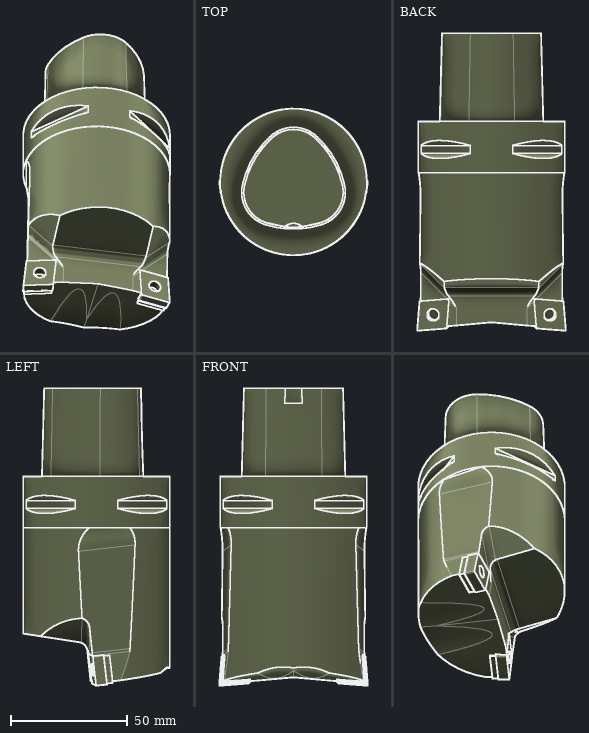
import cadquery as cq
import math


SHANK_LENGTH = 38.0
SHANK_INSET = 0.95
FLANK_DISTANCE = 20.25
LOBE_DISTANCE = 23.5
FLANK_RADIUS = 40.0
NOTCH_RADIUS = 5.4
NOTCH_DEPTH = 1.5
NOTCH_HEIGHT = 6.5

FLANGE_DIAMETER = 63.19
FLANGE_HEIGHT = 22.0
GROOVE_FLOOR_DISTANCE = 27.8
GROOVE_FLOOR_HEIGHT = 3.4
GROOVE_CENTRE_Z = -12.05
GROOVE_FLANK_ANGLE = 30.0

BODY_DIAMETER = 63.0
TIP_Z = -90.0
TIP_X = 32.0
REACH = 45.0
FLOOR_Z = TIP_Z - 10.0

RAKE_SLOPE_X = 0.135
RAKE_SLOPE_Z = 0.105
RAKE_TIP_Y = 0.13
WEB_TIP_Y = 2.4

CEILING_RIM_Z = -67.6
CEILING_SLOPE = 0.154
CHIP_CORNER_RADIUS = 4.0
SCOOP_START_X = 20.4

END_APEX_Z = -86.1
END_SLOPE_X = 0.0914
END_SLOPE_Y = 0.11
LOBE_RELIEF_RADIUS = 28.0
LOBE_RELIEF_X = 5.0
LOBE_RELIEF_RIM_Z = -82.2
LOBE_RELIEF_SLOPE = 0.155

FLAT_AXIS_X = 29.34
FLAT_TOP_Z = -31.2
FLAT_SLOPE_Y = 0.152
FLAT_SLOPE_Z = 0.02
FLAT_TURN = 0.113
FLAT_LENGTH = 44.0
FLAT_TOE_BAND = 1.2
FLAT_TOE_SLOPE = 0.07
RUNOUT_RADIUS = 27.0
RUNOUT_ANGLE = 40.0

INSERT_EDGE = 12.9
INSERT_ANGLE = 80.0
INSERT_THICKNESS = 4.76
INSERT_NOSE_RADIUS = 0.4
INSERT_HOLE_DIAMETER = 5.16
INSERT_EDGE_RISE = 4.5
SEAT_PAD_THICKNESS = 2.6
SEAT_PAD_INSET = 0.45


def polar(radius, degrees):
    angle = math.radians(degrees)
    return radius * math.cos(angle), radius * math.sin(angle)


def shank_section(inset, z):
    """Three flank arcs joined tangentially by three lobe arcs."""
    offset = FLANK_RADIUS - FLANK_DISTANCE
    lobe_radius = (offset ** 2 + LOBE_DISTANCE ** 2 + offset * LOBE_DISTANCE - FLANK_RADIUS ** 2) / (
        2 * LOBE_DISTANCE + offset - 2 * FLANK_RADIUS
    )
    lobe_centre = LOBE_DISTANCE - lobe_radius
    half_chord = lobe_centre * math.sin(math.radians(60))
    half_angle = math.degrees(math.atan2(half_chord, offset + lobe_centre / 2))
    radius = FLANK_RADIUS - inset

    def flank_end(flank, sign):
        centre = polar(offset, flank + 180)
        swing = polar(radius, flank + sign * half_angle)
        return centre[0] + swing[0], centre[1] + swing[1]

    flanks = (-90, 30, 150)
    section = cq.Workplane("XY", origin=(0, 0, z)).moveTo(*flank_end(flanks[0], -1))
    for flank in flanks:
        section = section.threePointArc(polar(FLANK_DISTANCE - inset, flank), flank_end(flank, 1))
        next_start = flank_end(flank + 120, -1)
        section = section.threePointArc(polar(LOBE_DISTANCE - inset, flank + 60), next_start)
    return section.close().wire().val()


def make_shank():
    sections = [shank_section(0, 0), shank_section(SHANK_INSET, SHANK_LENGTH)]
    shank = cq.Workplane(cq.Solid.makeLoft(sections, True))
    notch_y = -(FLANK_DISTANCE - SHANK_INSET - NOTCH_DEPTH + NOTCH_RADIUS)
    notch = (
        cq.Workplane("XY", origin=(0, notch_y, SHANK_LENGTH - NOTCH_HEIGHT))
        .circle(NOTCH_RADIUS)
        .extrude(2 * NOTCH_HEIGHT)
    )
    return shank.cut(notch)


def make_flange():
    flange = cq.Workplane("XY").circle(FLANGE_DIAMETER / 2).extrude(-FLANGE_HEIGHT)
    half_floor = GROOVE_FLOOR_HEIGHT / 2
    half_mouth = half_floor + (REACH - GROOVE_FLOOR_DISTANCE) * math.tan(math.radians(GROOVE_FLANK_ANGLE))
    groove = (
        cq.Workplane("XZ")
        .polyline([
            (GROOVE_FLOOR_DISTANCE, GROOVE_CENTRE_Z - half_floor),
            (REACH, GROOVE_CENTRE_Z - half_mouth),
            (REACH, GROOVE_CENTRE_Z + half_mouth),
            (GROOVE_FLOOR_DISTANCE, GROOVE_CENTRE_Z + half_floor),
        ])
        .close()
        .extrude(REACH, both=True)
    )
    for turn in (45, 135, 225, 315):
        flange = flange.cut(groove.rotate((0, 0, 0), (0, 0, 1), turn))
    return flange


def chip_space_section(x, drop):
    """YZ outline of the chip space: web wall, rounded corner and ceiling lowered by drop."""
    rim_y = BODY_DIAMETER / 2

    def wall_y(z):
        return WEB_TIP_Y + RAKE_SLOPE_Z * (z - TIP_Z)

    def ceiling_z(y):
        return CEILING_RIM_Z - drop - CEILING_SLOPE * (rim_y - y)

    corner_z = (ceiling_z(0) + CEILING_SLOPE * wall_y(0)) / (1 - CEILING_SLOPE * RAKE_SLOPE_Z)
    corner = cq.Vector(wall_y(corner_z), corner_z, 0)
    down_wall = cq.Vector(-RAKE_SLOPE_Z, -1, 0).normalized()
    along_ceiling = cq.Vector(1, CEILING_SLOPE, 0).normalized()
    half_angle = down_wall.getAngle(along_ceiling) / 2
    setback = CHIP_CORNER_RADIUS / math.tan(half_angle)
    bisector = (down_wall + along_ceiling).normalized()
    crown = corner + bisector * (CHIP_CORNER_RADIUS / math.sin(half_angle) - CHIP_CORNER_RADIUS)
    arc_start = corner + down_wall * setback
    arc_end = corner + along_ceiling * setback
    return (
        cq.Workplane("YZ", origin=(x, 0, 0))
        .moveTo(wall_y(FLOOR_Z - REACH), FLOOR_Z - REACH)
        .lineTo(arc_start.x, arc_start.y)
        .threePointArc((crown.x, crown.y), (arc_end.x, arc_end.y))
        .lineTo(REACH, ceiling_z(REACH))
        .lineTo(REACH, FLOOR_Z - REACH)
        .close()
        .wire()
        .val()
    )


def make_chip_space():
    """Central cut to the web, widened on each side by a rake face and a climbing ceiling."""
    centre = cq.Solid.extrudeLinear(chip_space_section(-REACH, 0), [], cq.Vector(2 * REACH, 0, 0))
    rake_start_x = TIP_X - (WEB_TIP_Y - RAKE_TIP_Y) / RAKE_SLOPE_X
    section = chip_space_section(-rake_start_x, SCOOP_START_X - rake_start_x)
    run = REACH - rake_start_x
    sweep = cq.Vector(-1, RAKE_SLOPE_Z - RAKE_SLOPE_X, 1) * run
    left = cq.Workplane(cq.Solid.extrudeLinear(section, [], sweep))
    return cq.Workplane(centre).union(left).union(left.mirror("YZ"))


def make_end_cut():
    """Roof-shaped end face that climbs towards -Y, with two shallow round reliefs."""
    start_y = REACH
    apex_z = END_APEX_Z - END_SLOPE_Y * start_y
    eaves_z = apex_z - END_SLOPE_X * REACH
    roof = (
        cq.Workplane("XZ", origin=(0, start_y, 0))
        .polyline([
            (-REACH, FLOOR_Z - REACH),
            (-REACH, eaves_z),
            (0, apex_z),
            (REACH, eaves_z),
            (REACH, FLOOR_Z - REACH),
        ])
        .close()
        .wire()
        .val()
    )
    cut = cq.Workplane(cq.Solid.extrudeLinear(roof, [], cq.Vector(0, -1, END_SLOPE_Y) * (2 * REACH)))
    climb = cq.Vector(0, -1, LOBE_RELIEF_SLOPE)
    rim_y = -BODY_DIAMETER / 2
    for side in (-1, 1):
        rim = cq.Vector(side * LOBE_RELIEF_X, rim_y, LOBE_RELIEF_RIM_Z - LOBE_RELIEF_RADIUS)
        relief = cq.Solid.makeCylinder(LOBE_RELIEF_RADIUS, 2 * REACH, rim - climb * REACH, climb)
        cut = cut.union(cq.Workplane(relief))
    return cut


def make_left_flat():
    """Cut beside the -X edge: a round run-out, a long flat and a toe that leans outwards."""
    origin = cq.Vector(-FLAT_AXIS_X, 0, FLAT_TOP_Z)
    outward = cq.Vector(-1, -FLAT_SLOPE_Y, FLAT_SLOPE_Z)
    across = cq.Vector(-FLAT_SLOPE_Y - FLAT_SLOPE_Z * FLAT_TURN, 1, -FLAT_TURN)
    runout_end = polar(RUNOUT_RADIUS, RUNOUT_ANGLE)
    runout_middle = polar(RUNOUT_RADIUS, RUNOUT_ANGLE / 2)
    band_lean = FLAT_TOE_BAND * FLAT_TOE_SLOPE / 2
    return (
        cq.Workplane(cq.Plane(origin, xDir=outward, normal=across))
        .threePointArc(
            (RUNOUT_RADIUS - runout_middle[0], runout_middle[1]),
            (RUNOUT_RADIUS - runout_end[0], runout_end[1]),
        )
        .lineTo(REACH, runout_end[1])
        .lineTo(REACH, -FLAT_LENGTH - REACH)
        .lineTo(band_lean + FLAT_TOE_SLOPE * (REACH - FLAT_TOE_BAND), -FLAT_LENGTH - REACH)
        .lineTo(band_lean, -FLAT_LENGTH - FLAT_TOE_BAND)
        .lineTo(0, -FLAT_LENGTH)
        .close()
        .extrude(REACH, both=True)
    )


def left_insert_plane():
    """Plane of the -X rake face: origin at the nose centre, local x along the end edge."""
    normal = cq.Vector(-RAKE_SLOPE_X, 1, -RAKE_SLOPE_Z).normalized()
    nose_x = TIP_X - INSERT_NOSE_RADIUS * math.sqrt(1 - normal.x ** 2)
    nose_z = TIP_Z + INSERT_NOSE_RADIUS * math.sqrt(1 - normal.z ** 2)
    nose_y = RAKE_TIP_Y + RAKE_SLOPE_X * (TIP_X - nose_x) + RAKE_SLOPE_Z * (nose_z - TIP_Z)
    rise = math.tan(math.radians(INSERT_EDGE_RISE))
    end_edge = cq.Vector(1, RAKE_SLOPE_X + RAKE_SLOPE_Z * rise, rise)
    return cq.Plane((-nose_x, nose_y, nose_z), xDir=end_edge, normal=normal)


def left_rhombus(plane, inset, thickness):
    """Rhombic plate behind the plane, its outline moved in by inset from the rounded insert."""
    angle = math.radians(INSERT_ANGLE)
    span = INSERT_EDGE - 2 * INSERT_NOSE_RADIUS / math.sin(angle)
    side = cq.Vector(span * math.cos(angle), -span * math.sin(angle))
    return (
        cq.Workplane(plane)
        .polyline([(0, 0), (span, 0), (span + side.x, side.y), (side.x, side.y)])
        .close()
        .offset2D(INSERT_NOSE_RADIUS - inset, "arc")
        .extrude(-thickness)
    )


def make_left_insert():
    """Rhombic insert with a clamping hole through its middle."""
    plate = left_rhombus(left_insert_plane(), 0, INSERT_THICKNESS)
    return plate.faces(">Y").workplane(centerOption="CenterOfBoundBox").hole(INSERT_HOLE_DIAMETER)


def make_left_seat_pad():
    """Slightly smaller pad of the body that backs the insert."""
    plane = left_insert_plane()
    pad = left_rhombus(plane, SEAT_PAD_INSET, INSERT_THICKNESS + SEAT_PAD_THICKNESS)
    return pad.cut(left_rhombus(plane, 0, INSERT_THICKNESS))


def make_holder():
    """Shank, flange and cutter body in one solid, with a seat for each insert."""
    length = -FLANGE_HEIGHT - FLOOR_Z
    body = cq.Workplane("XY", origin=(0, 0, FLOOR_Z)).circle(BODY_DIAMETER / 2).extrude(length)
    body = body.cut(make_chip_space()).cut(make_end_cut())
    flat = make_left_flat()
    pad = make_left_seat_pad()
    seat = left_rhombus(left_insert_plane(), 0, INSERT_THICKNESS)
    body = body.cut(flat).cut(flat.mirror("YZ"))
    body = body.union(pad).union(pad.mirror("YZ"))
    body = body.cut(seat).cut(seat.mirror("YZ"))
    return body.union(make_flange()).union(make_shank())


holder = make_holder()
left_insert = make_left_insert()
inserts = [left_insert, left_insert.mirror("YZ")]

result = cq.Compound.makeCompound([holder.val(), *[insert.val() for insert in inserts]])